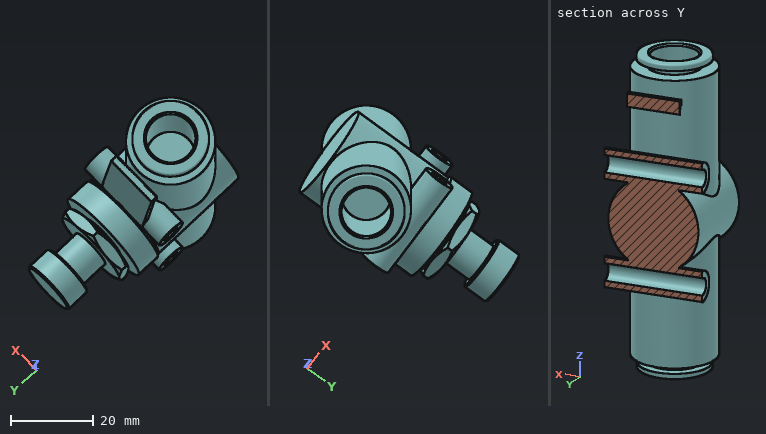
import cadquery as cq
import math

total_height = 81.3
tube_radius = 10.9
collar_projection = 3.5
tube_height = total_height - 2 * collar_projection
neck_radius = 6.6
flange_radius = 9.35
flange_thickness = 1.55
collar_rounding = 0.5
bore_radius = 6.0
bore_depth = 20.3

housing_radius = 12.1
housing_front = -11.3
shoulder_radius = 12.6
shoulder_taper = 0.7
shoulder_back = 22.8
seat_radius = 6.1
nut_front = 23.7
nut_thickness = 3.2
nut_across_flats = 20.0
nut_chamfer_angle = 30.0
stem_radius = 5.1
knob_radius = 7.1
knob_front = 34.7
knob_back = 41.3
knob_chamfer = 0.3

sleeve_length = 26.2
sleeve_radius = 4.0
sleeve_hole_radius = 2.2
sleeve_y = 12.4
sleeve_z = 14.0
shoulder_front = sleeve_y + sleeve_radius

lever_width = 14.15
lever_top = 33.1
lever_outer_tip_y = 13.25
lever_inner_tip_y = 12.1
lever_lip_y = 11.4
lever_lip_height = 1.2
lever_outer_root = (16.3, 15.8)
lever_inner_root = (14.4, 17.65)


def cylinder_y(radius, start, end):
    """Cylinder on the Y axis between two Y positions."""
    return cq.Workplane("XZ", origin=(0, start, 0)).circle(radius).extrude(start - end)


def cylinder_x(radius, z):
    """Full sleeve-length cylinder along X at the sleeve offset."""
    return cq.Workplane("YZ").center(sleeve_y, z).circle(radius).extrude(sleeve_length / 2, both=True)


def make_end_collar():
    """Neck and rounded flange at the upper tube end."""
    neck = (
        cq.Workplane("XY", origin=(0, 0, tube_height / 2))
        .circle(neck_radius)
        .extrude(collar_projection)
    )
    flange = (
        cq.Workplane("XY", origin=(0, 0, total_height / 2 - flange_thickness))
        .circle(flange_radius)
        .extrude(flange_thickness)
        .faces(">Z")
        .edges()
        .fillet(collar_rounding)
    )
    return neck.union(flange)


def make_end_bore():
    """Blind bore with a chamfered mouth at the upper tube end."""
    top = total_height / 2
    return (
        cq.Workplane("XZ")
        .polyline([
            (0, top),
            (bore_radius + collar_rounding, top),
            (bore_radius, top - collar_rounding),
            (bore_radius, top - bore_depth),
            (0, top - bore_depth),
        ])
        .close()
        .revolve(360, (0, 0), (0, 1))
    )


def make_housing():
    """Cross housing with a larger shoulder that tapers onto it."""
    profile = [
        (0, housing_front),
        (housing_radius, housing_front),
        (housing_radius, shoulder_front - shoulder_taper),
        (shoulder_radius, shoulder_front),
        (shoulder_radius, shoulder_back),
        (0, shoulder_back),
    ]
    return cq.Workplane("XY").polyline(profile).close().revolve(360, (0, 0), (0, 1))


def make_nut():
    """Hexagonal nut, corners up and down, chamfered on both faces."""
    corner_radius = nut_across_flats / 2 / math.cos(math.pi / 6)
    face_radius = nut_across_flats / 2
    chamfer_depth = (corner_radius - face_radius) * math.tan(math.radians(nut_chamfer_angle))
    nut_back = nut_front + nut_thickness
    hexagon = (
        cq.Workplane("XZ", origin=(0, nut_front, 0))
        .transformed(rotate=(0, 0, 90))
        .polygon(6, 2 * corner_radius)
        .extrude(-nut_thickness)
    )
    envelope = (
        cq.Workplane("XY")
        .polyline([
            (0, nut_front),
            (face_radius, nut_front),
            (corner_radius, nut_front + chamfer_depth),
            (corner_radius, nut_back - chamfer_depth),
            (face_radius, nut_back),
            (0, nut_back),
        ])
        .close()
        .revolve(360, (0, 0), (0, 1))
    )
    return hexagon.intersect(envelope)


def make_lever():
    """Thin sloping lever with a small lip at its tip."""
    profile = [
        (sleeve_y, sleeve_z),
        (shoulder_front, sleeve_z),
        lever_outer_root,
        (lever_outer_tip_y, lever_top),
        (lever_lip_y, lever_top),
        (lever_lip_y, lever_top - lever_lip_height),
        (lever_inner_tip_y, lever_top - lever_lip_height),
        lever_inner_root,
    ]
    return cq.Workplane("YZ").polyline(profile).close().extrude(lever_width / 2, both=True)


tube = cq.Workplane("XY").circle(tube_radius).extrude(tube_height / 2, both=True)
knob = cylinder_y(knob_radius, knob_front, knob_back).edges().chamfer(knob_chamfer)
body = (
    tube.union(make_housing())
    .union(cylinder_y(seat_radius, shoulder_back, nut_front))
    .union(make_nut())
    .union(cylinder_y(stem_radius, nut_front, knob_front))
    .union(knob)
    .union(make_lever())
)
collar = make_end_collar()
body = body.union(collar).union(collar.mirror("XY"))
for z in (-sleeve_z, sleeve_z):
    body = body.union(cylinder_x(sleeve_radius, z))

bore = make_end_bore()
body = body.cut(bore).cut(bore.mirror("XY"))
for z in (-sleeve_z, sleeve_z):
    body = body.cut(cylinder_x(sleeve_hole_radius, z))

result = body